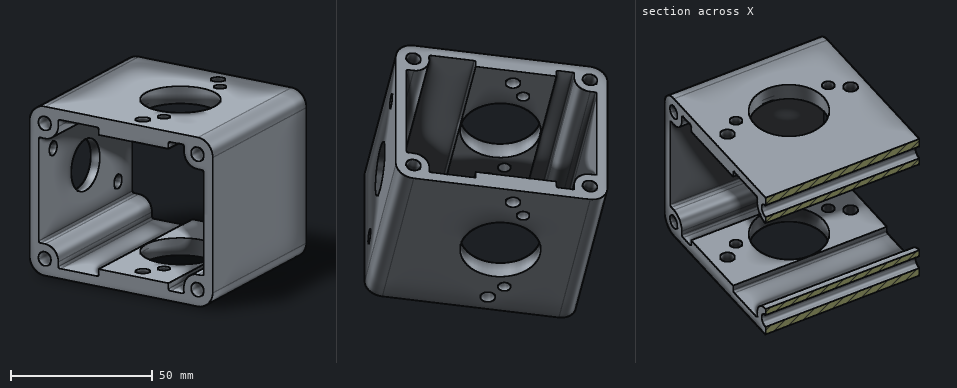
import cadquery as cq
import math

length_x = 76.2
size = 63.5
corner_radius = 6.3
wall = 3.8
boss_radius = 5.65
inner_fillet = 0.8

port_x = 5.2
port_diameter = 28.6
pad_width = 29.0
pad_wall = 6.55

screw_diameter = 5.25
screw_y = size / 2 - corner_radius
pin_diameter = 4.5
pin_offset_x = 4.8
pin_y = 19.05

side_port_diameter = 19.3
side_screw_y = 21.95
side_screw_z = 12.7

boss_x = length_x / 2 - corner_radius
boss_z = size / 2 - corner_radius
boss_centers = [(x, z) for x in (-boss_x, boss_x) for z in (-boss_z, boss_z)]


def bar(width, height, x=0, z=0):
    """Rectangular bar running the full depth in Y."""
    return cq.Workplane("XY").box(width, size, height).translate((x, 0, z))


def y_cylinders(points, diameter):
    """Full-depth cylinders along Y at (x, z) points."""
    plane = cq.Workplane("XZ", origin=(0, size / 2, 0))
    return plane.pushPoints(points).circle(diameter / 2).extrude(size)


def round_corner(cavity, x, z):
    """Fillet the cavity's Y-parallel edge at (x, z)."""
    corner = cq.selectors.NearestToPointSelector((x, 0, z))
    return cavity.edges("|Y").edges(corner).fillet(inner_fillet)


def make_cavity():
    """Inner void, notched by the four bosses and the two pads."""
    half_x = length_x / 2 - wall
    half_z = size / 2 - wall
    boss_edge_x = boss_x - boss_radius
    boss_edge_z = boss_z - boss_radius
    pad_left = port_x - pad_width / 2
    pad_right = port_x + pad_width / 2

    cavity = bar(2 * half_x, 2 * half_z)
    cavity = cavity.cut(y_cylinders(boss_centers, 2 * boss_radius))
    for x, z in boss_centers:
        cavity = cavity.cut(bar(2 * boss_radius, 2 * corner_radius, x, math.copysign(size / 2, z)))
        cavity = cavity.cut(bar(2 * corner_radius, 2 * boss_radius, math.copysign(length_x / 2, x), z))

    for z in (-size / 2, size / 2):
        cavity = cavity.cut(bar(pad_width, 2 * pad_wall, port_x, z))

    for x in (-boss_edge_x, pad_left, pad_right, boss_edge_x):
        for z in (-half_z, half_z):
            cavity = round_corner(cavity, x, z)
    for x in (-half_x, half_x):
        for z in (-boss_edge_z, boss_edge_z):
            cavity = round_corner(cavity, x, z)
    return cavity


def z_holes(points, diameter):
    """Cylinders along Z through the top and bottom walls at (x, y) points."""
    plane = cq.Workplane("XY", origin=(0, 0, -size / 2))
    return plane.pushPoints(points).circle(diameter / 2).extrude(size)


def side_holes(points, diameter):
    """Cylinders along X through the -X wall only, at (y, z) points."""
    plane = cq.Workplane("YZ", origin=(-length_x / 2, 0, 0))
    return plane.pushPoints(points).circle(diameter / 2).extrude(wall)


body = bar(length_x, size).edges("|Y").fillet(corner_radius)
body = body.cut(make_cavity())
body = body.cut(y_cylinders(boss_centers, screw_diameter))

pin_x = port_x + pin_offset_x
body = body.cut(z_holes([(port_x, 0)], port_diameter))
body = body.cut(z_holes([(port_x, -screw_y), (port_x, screw_y)], screw_diameter))
body = body.cut(z_holes([(pin_x, -pin_y), (pin_x, pin_y)], pin_diameter))

body = body.cut(side_holes([(0, 0)], side_port_diameter))
side_screws = [(-side_screw_y, side_screw_z), (side_screw_y, -side_screw_z)]
result = body.cut(side_holes(side_screws, screw_diameter))